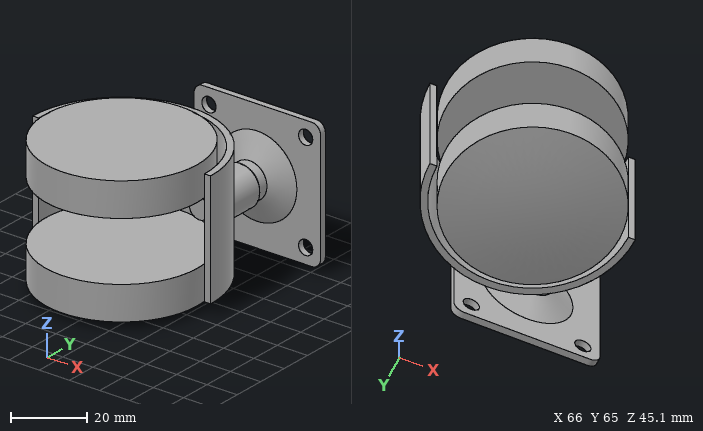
import cadquery as cq

wheel_radius = 25.0
wheel_gap = 19.15
wheel_rim_width = 10.95
wheel_dome_height = 2.0

shroud_outer_radius = 29.5
shroud_thickness = 2.05
shroud_inner_radius = shroud_outer_radius - shroud_thickness
shroud_height = 37.2
boss_diameter = 13.1
boss_end_y = 30.55

plate_side = 42.0
plate_thickness = 2.1
plate_corner_radius = 3.0
plate_back_y = 40.0
plate_front_y = plate_back_y - plate_thickness
hole_spacing = 32.0
hole_diameter = 4.6
stem_x = 15.5
stem_diameter = 6.6
stem_end_y = 13.2
cone_base_diameter = 26.3
collar_diameter = 11.55
collar_back_y = 34.6
collar_front_y = 31.5


def rod_along_y(diameter, start_y, end_y):
    """Cylinder on the stem axis between two Y positions."""
    plane = cq.Workplane("XZ", origin=(stem_x, start_y, 0))
    return plane.circle(diameter / 2).extrude(start_y - end_y)


def make_wheel(side):
    """Domed disc; side is +1 above the middle plane and -1 below it."""
    inner_z = wheel_gap / 2
    rim_z = inner_z + wheel_rim_width
    crown_z = rim_z + wheel_dome_height
    dome_radius = (wheel_radius**2 + wheel_dome_height**2) / (2 * wheel_dome_height)
    mid_r = wheel_radius / 2
    mid_z = crown_z - dome_radius + (dome_radius**2 - mid_r**2) ** 0.5
    return (
        cq.Workplane("XZ")
        .moveTo(0, side * inner_z)
        .lineTo(wheel_radius, side * inner_z)
        .lineTo(wheel_radius, side * rim_z)
        .threePointArc((mid_r, side * mid_z), (0, side * crown_z))
        .close()
        .revolve(360, (0, 0, 0), (0, 1, 0))
    )


def make_shroud():
    """Half ring with a boss, bored through for the stem."""
    half_disc = (
        cq.Workplane("XY")
        .moveTo(shroud_outer_radius, 0)
        .threePointArc((0, shroud_outer_radius), (-shroud_outer_radius, 0))
        .close()
        .extrude(shroud_height / 2, both=True)
    )
    boss = rod_along_y(boss_diameter, stem_end_y, boss_end_y)
    wheel_space = cq.Workplane("XY").circle(shroud_inner_radius).extrude(shroud_height / 2, both=True)
    bore = rod_along_y(stem_diameter, 0, boss_end_y)
    return half_disc.union(boss).cut(wheel_space).cut(bore).solids()


def make_mount():
    """Square plate with corner holes, a cone, a collar and the stem."""
    plate = (
        cq.Workplane("XZ", origin=(stem_x, plate_back_y, 0))
        .rect(plate_side, plate_side)
        .extrude(plate_thickness)
        .edges("|Y")
        .fillet(plate_corner_radius)
        .faces("<Y")
        .workplane()
        .rect(hole_spacing, hole_spacing, forConstruction=True)
        .vertices()
        .hole(hole_diameter)
    )
    cone = (
        cq.Workplane("XZ", origin=(stem_x, plate_front_y, 0))
        .circle(cone_base_diameter / 2)
        .workplane(offset=plate_front_y - collar_back_y)
        .circle(collar_diameter / 2)
        .loft(ruled=True)
    )
    collar = rod_along_y(collar_diameter, collar_front_y, collar_back_y)
    stem = rod_along_y(stem_diameter, stem_end_y, collar_front_y)
    return plate.union(cone).union(collar).union(stem).solids()


wheels = [make_wheel(side) for side in (1, -1)]
shroud = make_shroud()
mount = make_mount()

result = cq.Compound.makeCompound([*[wheel.val() for wheel in wheels], shroud.val(), mount.val()])